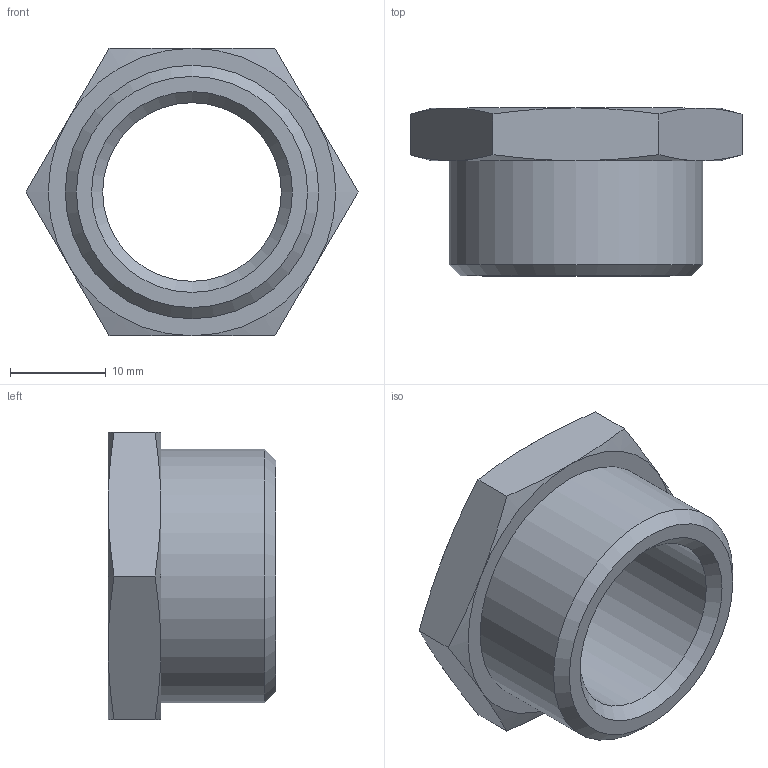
import cadquery as cq
import math

across_flats = 30.0
hex_thickness = 5.5
total_length = 17.5
barrel_diameter = 26.44
bore_diameter = 18.63
thread_depth = 1.162
hex_chamfer_angle = 15.0

barrel_radius = barrel_diameter / 2
bore_radius = bore_diameter / 2
face_radius = across_flats / 2
corner_radius = face_radius / math.cos(math.radians(30))
corner_drop = (corner_radius - face_radius) * math.tan(math.radians(hex_chamfer_angle))
barrel_end = -(total_length - hex_thickness)


def revolve_about_y(points):
    """Turn a closed (radius, y) outline about the Y axis."""
    return cq.Workplane("XY").polyline(points).close().revolve(360, (0, 0, 0), (0, 1, 0))


def hex_head():
    """Hexagon with corners on the X axis, its corners chamfered on both faces."""
    prism = (
        cq.Workplane("XZ")
        .polygon(6, 2 * corner_radius)
        .extrude(-hex_thickness)
    )
    turned_blank = revolve_about_y([
        (0, 0),
        (face_radius, 0),
        (corner_radius, corner_drop),
        (corner_radius, hex_thickness - corner_drop),
        (face_radius, hex_thickness),
        (0, hex_thickness),
    ])
    return prism.intersect(turned_blank)


def barrel():
    """Plain cylinder with a 45 degree lead-in chamfer on its free end."""
    return revolve_about_y([
        (0, hex_thickness),
        (barrel_radius, hex_thickness),
        (barrel_radius, barrel_end + thread_depth),
        (barrel_radius - thread_depth, barrel_end),
        (0, barrel_end),
    ])


def bore():
    """Through bore with a 45 degree countersink at the free end of the barrel."""
    return revolve_about_y([
        (0, barrel_end),
        (bore_radius + thread_depth, barrel_end),
        (bore_radius, barrel_end + thread_depth),
        (bore_radius, hex_thickness),
        (0, hex_thickness),
    ])


result = hex_head().union(barrel()).cut(bore())